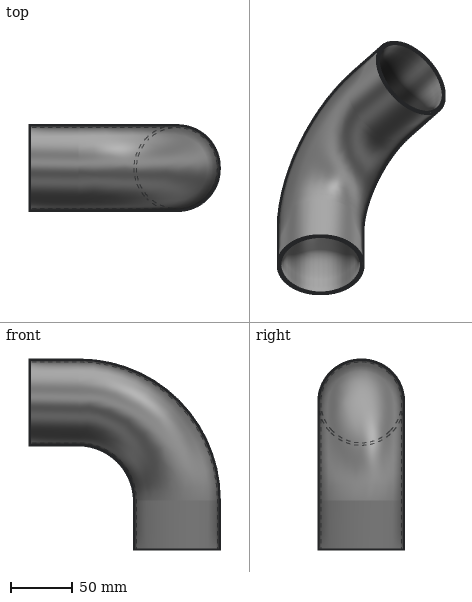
import cadquery as cq

OUTER_DIAMETER = 70.0
WALL_THICKNESS = 2.0
BEND_RADIUS = 80.0
BEND_ANGLE = 90.0
STRAIGHT_LENGTH = 40.0

outer_radius = OUTER_DIAMETER / 2
inner_radius = outer_radius - WALL_THICKNESS

HORIZONTAL_JOINT = (0, 0, BEND_RADIUS)
VERTICAL_JOINT = (BEND_RADIUS, 0, 0)


def ring(plane_name, joint):
    """Pipe cross-section centred on a joint."""
    return cq.Workplane(plane_name, origin=joint).circle(outer_radius).circle(inner_radius)


def straight_leg(plane_name, joint):
    """Straight pipe running from a joint towards the negative plane normal."""
    return ring(plane_name, joint).extrude(-STRAIGHT_LENGTH)


def bend():
    """Quarter-turn pipe bend from the vertical joint to the horizontal joint."""
    axis_start = (-BEND_RADIUS, 0, 0)
    axis_end = (-BEND_RADIUS, -1, 0)
    return ring("XY", VERTICAL_JOINT).revolve(BEND_ANGLE, axis_start, axis_end)


horizontal_leg = straight_leg("YZ", HORIZONTAL_JOINT)
vertical_leg = straight_leg("XY", VERTICAL_JOINT)
result = bend().union(horizontal_leg).union(vertical_leg)